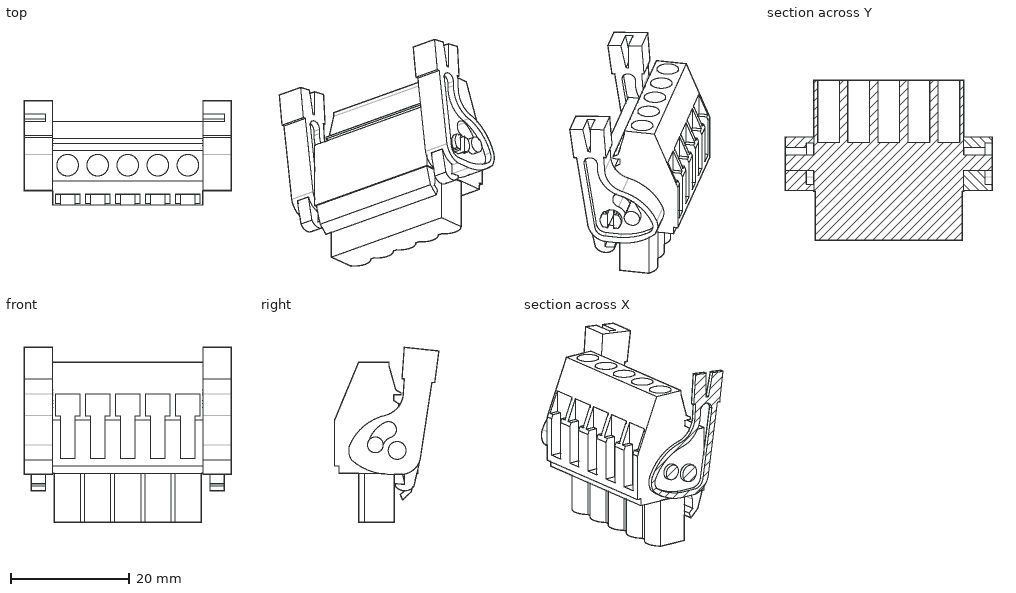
import cadquery as cq


total_length = 35.1
poles = 5
pitch = 5.1
housing_length = 25.4
lever_width = (total_length - housing_length) / 2
half_housing = housing_length / 2
pole_positions = [(i - (poles - 1) / 2) * pitch for i in range(poles)]

housing_top = 27.13
housing_base = 8.3
top_front = 4.07
top_rear = 9.25
slope_foot = 17.3
step_height = 9.5
step_depth = 0.75
rear_wall = 10.88
rear_face = 14.15
shelf_height = 19.48

screw_hole_diameter = 3.65
screw_hole_depth = 10.53
screw_hole_y = 6.75

opening_depth = 1.83
opening_base = 10.78
opening_shoulder = 17.97
opening_top = 21.7
opening_stem_width = 2.5
opening_head_width = 4.18

plug_length = 24.92
plug_front = 5.1
plug_rear = 10.15
bump_width = 4.42
bump_height = 1.02

catch_tip = 11.25
catch_underside = 21.6
notch_floor = 10.05

lever_top = 29.65
pocket_depth = 1.23
grip_slot_depth = 3.65
hook_width = 2.5

pivot_y = 10.6
pivot_z = 12.18
pivot_radius = 1.5
head_radius = 1.83
head_flat_height = 2.53
head_thickness = 0.77
pivot_slit = 1.02
peg_y = 6.9
peg_z = 13.13
peg_radius = 1.35


def side_profile(x):
    """Sketch plane facing along X: local x is Y and local y is Z."""
    return cq.Workplane("YZ", origin=(x, 0, 0))


def box(x_size, y_min, y_max, z_min, z_max, x_centre=0.0):
    return (
        cq.Workplane("XY", origin=(x_centre, (y_min + y_max) / 2, z_min))
        .rect(x_size, y_max - y_min)
        .extrude(z_max - z_min)
    )


def housing_shell():
    outline = [
        (step_depth, housing_base),
        (step_depth, step_height),
        (0, step_height),
        (0, slope_foot),
        (top_front, housing_top),
        (top_rear, housing_top),
        (top_rear, 26.43),
        (10.4, 22.43),
        (catch_tip, 21.95),
        (catch_tip, catch_underside),
        (notch_floor, catch_underside),
        (notch_floor, 20.65),
        (rear_wall, 20.1),
        (rear_wall, shelf_height),
        (rear_face, shelf_height),
        (rear_face, housing_base),
    ]
    return side_profile(-half_housing).polyline(outline).close().extrude(housing_length)


def rear_latch():
    outline = [
        (13.95, housing_base),
        (13.0, 5.15),
        (11.5, 3.75),
        (11.13, 4.7),
        (11.9, 5.4),
        (11.8, 7.1),
        (11.48, housing_base),
    ]
    return side_profile(-plug_length / 2).polyline(outline).close().extrude(plug_length)


def plug_block():
    plug = box(plug_length, plug_front, plug_rear, 0, housing_base)
    for x in pole_positions:
        bump = (
            cq.Workplane("XY")
            .moveTo(x - bump_width / 2, plug_front)
            .threePointArc((x, plug_front - bump_height), (x + bump_width / 2, plug_front))
            .close()
            .extrude(housing_base)
        )
        plug = plug.union(bump)
    return plug


def wire_opening(x):
    stem = box(opening_stem_width, 0, opening_depth, opening_base, opening_top, x)
    head = box(opening_head_width, 0, opening_depth, opening_shoulder, opening_top, x)
    return stem.union(head)


def screw_holes():
    return (
        cq.Workplane("XY", origin=(0, screw_hole_y, housing_top - screw_hole_depth))
        .pushPoints([(x, 0) for x in pole_positions])
        .circle(screw_hole_diameter / 2)
        .extrude(screw_hole_depth)
    )


def pivot_shaft(x):
    return side_profile(x).center(pivot_y, pivot_z).circle(pivot_radius).extrude(lever_width)


def guide_peg(x):
    return side_profile(x).center(peg_y, peg_z).circle(peg_radius).extrude(lever_width)


def pivot_head(x):
    disc = side_profile(x).center(pivot_y, pivot_z).circle(head_radius).extrude(head_thickness)
    flats = side_profile(x).center(pivot_y, pivot_z).rect(2 * head_radius, head_flat_height)
    return disc.intersect(flats.extrude(head_thickness))


def head_slit(x):
    slit = side_profile(x).center(pivot_y, pivot_z).rect(pivot_slit, 2 * head_radius)
    return slit.extrude(lever_width)


def make_housing():
    body = housing_shell().union(rear_latch()).union(plug_block()).cut(screw_holes())
    for x in pole_positions:
        body = body.cut(wire_opening(x))
    left_end = -total_length / 2
    for x in (left_end, half_housing):
        body = body.union(pivot_shaft(x)).union(guide_peg(x))
    return body.union(pivot_head(left_end)).cut(head_slit(left_end))


def lever_blank(x):
    return (
        side_profile(x)
        .moveTo(17.7, 29.03)
        .lineTo(11.8, lever_top)
        .lineTo(11.4, 24.3)
        .lineTo(11.8, 24.3)
        .lineTo(11.62, 21.7)
        .threePointArc((10.75, 19.48), (8.55, 18.1))
        .threePointArc((5.1, 16.4), (2.6, 13.13))
        .threePointArc((2.42, 11.95), (2.9, 10.53))
        .threePointArc((5.4, 8.95), (8.95, 8.15))
        .lineTo(11.72, 8.15)
        .threePointArc((13.62, 9.13), (14.53, 10.75))
        .lineTo(16.5, 23.65)
        .lineTo(17.0, 23.65)
        .close()
        .extrude(lever_width)
    )


def lever_pocket(x):
    return (
        side_profile(x)
        .moveTo(15.25, 22.95)
        .threePointArc((14.05, 23.97), (12.88, 22.8))
        .lineTo(12.88, 22.05)
        .threePointArc((11.75, 18.95), (8.95, 17.25))
        .threePointArc((5.95, 15.83), (3.45, 12.75))
        .threePointArc((3.25, 11.9), (3.95, 10.75))
        .threePointArc((6.4, 9.65), (8.95, 9.2))
        .lineTo(11.6, 9.2)
        .threePointArc((12.88, 9.72), (13.35, 10.67))
        .close()
        .extrude(pocket_depth)
    )


def guide_slot(x):
    return (
        side_profile(x)
        .moveTo(8.6, 16.95)
        .threePointArc((10.32, 16.35), (9.48, 14.4))
        .threePointArc((8.85, 14.0), (8.25, 13.15))
        .threePointArc((7.02, 11.83), (5.72, 13.5))
        .threePointArc((6.8, 15.6), (8.6, 16.95))
        .close()
        .extrude(lever_width)
    )


def grip_slot(x):
    outline = [(15.4, lever_top), (15.4, 29.2), (14.53, 25.13), (14.1, 25.13), (14.1, lever_top)]
    return side_profile(x).polyline(outline).close().extrude(grip_slot_depth)


def lever_hook(x):
    return (
        side_profile(x + (lever_width - hook_width) / 2)
        .moveTo(14.4, 10.18)
        .lineTo(13.48, 6.18)
        .threePointArc((12.0, 5.35), (10.25, 6.18))
        .lineTo(10.25, 6.55)
        .lineTo(11.85, 6.45)
        .lineTo(11.85, 10.18)
        .close()
        .extrude(hook_width)
    )


def make_lever(x):
    lever = lever_blank(x).union(lever_hook(x))
    lever = lever.cut(lever_pocket(x)).cut(grip_slot(x)).cut(guide_slot(x))
    return lever.cut(pivot_shaft(x)).cut(guide_peg(x))


housing = make_housing()
levers = [make_lever(x) for x in (-total_length / 2, half_housing)]

result = cq.Compound.makeCompound([housing.solids().val(), *[lever.solids().val() for lever in levers]])